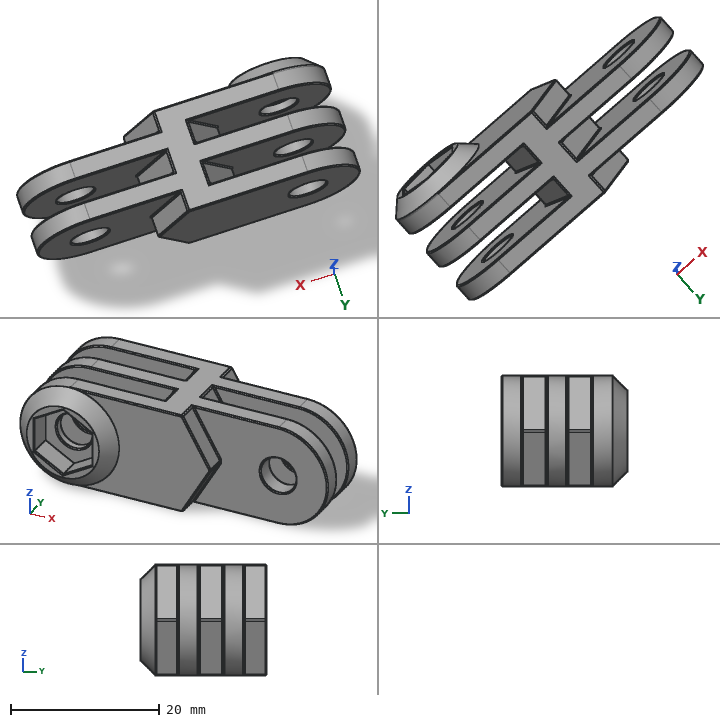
import cadquery as cq
import math

length = 45.0
end_radius = length / 6
height = 2 * end_radius
width = height
hole_places = (end_radius, length - end_radius)

finger_thickness = 2.8
finger_pitch = (width - finger_thickness) / 2
gap = finger_pitch - finger_thickness
shoulder = (width - finger_pitch - finger_thickness) / 2
hole_diameter = 5.3
chamfer = 0.2
mouth_reach = 4 * chamfer
seam_tolerance = 0.01

floor_lean = math.radians(30)
point_reach = end_radius * math.tan(floor_lean)
left_floor_x = 20.55
right_floor_x = 24.52

boss_height = 2.02
boss_top_radius = end_radius - boss_height
socket_flats = 8.65
socket_depth = 3.38

face_y = -width / 2
boss_top_y = face_y - boss_height


def y_slab(y_middle, thickness):
    """Workplane facing -Y, placed for an extrusion centred on y_middle."""
    return cq.Workplane("XZ", origin=(0, y_middle + thickness / 2, 0))


def rounded_bar():
    return (
        y_slab(0, width)
        .center(length / 2, 0)
        .slot2D(length, height)
        .extrude(width)
    )


def pointed_slot(y_middle, thickness, floor_x, toward):
    """Slot open at one bar end (toward is -1 for left, 1 for right) with a pointed floor."""
    open_x = length / 2 + toward * length / 2
    return (
        y_slab(y_middle, thickness)
        .polyline([
            (open_x, -end_radius),
            (floor_x, -end_radius),
            (floor_x + toward * point_reach, 0),
            (floor_x, end_radius),
            (open_x, end_radius),
        ])
        .close()
        .extrude(thickness)
    )


def square_mouth(y_middle, thickness, floor_x, toward):
    """Flare that carries the top chamfers of a slot into square corners beside its floor."""
    drop = chamfer * math.cos(floor_lean)
    lower_growth = chamfer - drop
    upper_x = floor_x - toward * chamfer
    lower_x = floor_x + toward * chamfer * math.sin(floor_lean)
    inner_x = floor_x + toward * mouth_reach
    lower_size = (abs(inner_x - lower_x), thickness + 2 * lower_growth)
    upper_size = (abs(inner_x - upper_x), thickness + 2 * chamfer)
    return (
        cq.Workplane("XY", origin=(0, y_middle, end_radius - drop))
        .center((inner_x + lower_x) / 2, 0)
        .rect(*lower_size)
        .workplane(offset=drop)
        .center((upper_x - lower_x) / 2, 0)
        .rect(*upper_size)
        .loft(ruled=True)
    )


def is_sharp(edge):
    """False for the seams along Y where a round end meets a flat side, or inside a bolt hole."""
    if edge.geomType() != "LINE" or abs(edge.tangentAt(0).y) < 1 - seam_tolerance:
        return True
    x = edge.Center().x
    seams = [hole_x + offset for hole_x in hole_places for offset in (0, hole_diameter / 2)]
    return all(abs(x - seam) > seam_tolerance for seam in seams)


def chamfered_fingers():
    """Bar with its slots and holes, chamfered on every outer and inner edge."""
    shoulder_y = (width - shoulder) / 2
    slots = [(side * finger_pitch / 2, gap, left_floor_x, -1) for side in (-1, 1)]
    slots += [(side * shoulder_y, shoulder, right_floor_x, 1) for side in (-1, 1)]
    slots.append((0, gap, right_floor_x, 1))

    body = rounded_bar()
    for slot in slots:
        body = body.cut(pointed_slot(*slot))
    for x in hole_places:
        body = body.cut(y_slab(0, width).center(x, 0).circle(hole_diameter / 2).extrude(width))

    sharp_edges = [edge for edge in body.edges().vals() if is_sharp(edge)]
    body = body.newObject(sharp_edges).chamfer(chamfer)

    for slot in slots:
        mouth = square_mouth(*slot)
        body = body.cut(mouth).cut(mouth.mirror("XY"))
    return body


def nut_boss():
    """Cone on the front face; its base fills in the chamfer around the round end."""
    base = (
        cq.Workplane("XZ", origin=(end_radius, face_y + chamfer, 0))
        .circle(end_radius)
        .extrude(chamfer)
    )
    cone = (
        cq.Workplane("XZ", origin=(end_radius, face_y, 0))
        .circle(end_radius)
        .workplane(offset=boss_height)
        .circle(boss_top_radius)
        .loft()
    )
    return base.union(cone)


def nut_socket():
    """Hexagonal pocket with corners at top and bottom, chamfered at its mouth."""
    corner_diameter = socket_flats / math.cos(math.pi / 6)
    mouth_diameter = (socket_flats + 2 * chamfer) / math.cos(math.pi / 6)
    boss_top = cq.Workplane("XZ", origin=(end_radius, boss_top_y, 0)).transformed(rotate=(0, 0, 90))
    pocket = boss_top.polygon(6, corner_diameter).extrude(-socket_depth)
    mouth = (
        boss_top.polygon(6, mouth_diameter)
        .workplane(offset=-chamfer)
        .polygon(6, corner_diameter)
        .loft()
    )
    return pocket.union(mouth)


def bolt_hole_rim():
    """Chamfer around the bolt hole on the socket floor."""
    radius = hole_diameter / 2
    return (
        cq.Workplane("XZ", origin=(end_radius, boss_top_y + socket_depth, 0))
        .circle(radius + chamfer)
        .workplane(offset=-chamfer)
        .circle(radius)
        .loft()
    )


result = chamfered_fingers().union(nut_boss()).cut(nut_socket()).cut(bolt_hole_rim())